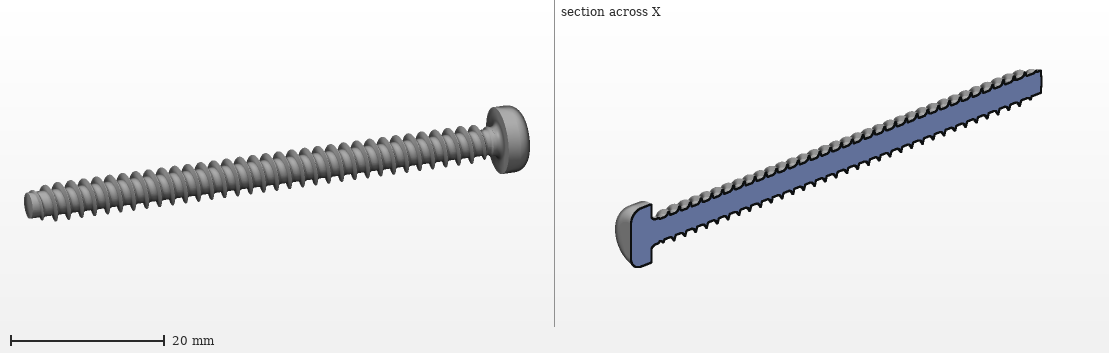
import cadquery as cq
import math

total_length = 68.49
head_diameter = 8.8
head_height = 3.45
head_round = 1.75

shank_length = total_length - head_height
core_radius = 1.7
neck_radius = 1.92
neck_length = 1.2
neck_taper = 0.2
neck_fillet = 0.7
tip_dome = 0.1

pitch = 1.8
thread_radius = 2.55
root_depth = 0.1
crest_width = 0.06
tip_side_root = 0.3
kink_radius = 1.88
kink_reach = 0.3
head_side_root = 0.75
fade_turns = 2.0
full_turns = 32.5
full_start_z = -61.83
base_radius = core_radius - root_depth
buried_crest_radius = core_radius - root_depth / 2
buried_scale = (buried_crest_radius - base_radius) / (thread_radius - base_radius)
fade_points_per_turn = 16


def make_body():
    """Head, neck and threadless core as one revolved profile around Z."""
    head_radius = head_diameter / 2
    diagonal = math.sqrt(0.5)
    crown_mid = (
        head_radius - head_round * (1 - diagonal),
        head_height - head_round * (1 - diagonal),
    )
    fillet_mid = (
        neck_radius + neck_fillet * (1 - diagonal),
        -neck_fillet * (1 - diagonal),
    )
    dome_mid = (core_radius / 2, -shank_length + tip_dome / 4)
    return (
        cq.Workplane("XZ")
        .moveTo(0, head_height)
        .lineTo(head_radius - head_round, head_height)
        .threePointArc(crown_mid, (head_radius, head_height - head_round))
        .lineTo(head_radius, 0)
        .lineTo(neck_radius + neck_fillet, 0)
        .threePointArc(fillet_mid, (neck_radius, -neck_fillet))
        .lineTo(neck_radius, -neck_length)
        .lineTo(core_radius, -neck_length - neck_taper)
        .lineTo(core_radius, -shank_length + tip_dome)
        .threePointArc(dome_mid, (0, -shank_length))
        .close()
        .revolve(360, (0, 0, 0), (0, 1, 0))
        .val()
    )


def profile_corners(scale):
    """Thread section as (radius, axial offset), with its height scaled down to the base."""
    full_section = [
        (base_radius, -tip_side_root),
        (thread_radius, -crest_width / 2),
        (thread_radius, crest_width / 2),
        (kink_radius, kink_reach),
        (base_radius, head_side_root),
    ]
    return [
        (base_radius + scale * (radius - base_radius), offset)
        for radius, offset in full_section
    ]


def corner_point(corner, scale, turn):
    """Position of one section corner after a number of turns from the first full crest."""
    radius, offset = profile_corners(scale)[corner]
    angle = 2 * math.pi * turn
    return cq.Vector(
        radius * math.cos(angle),
        radius * math.sin(angle),
        full_start_z + pitch * turn + offset,
    )


def fade_curve(corner, buried_turn, full_turn):
    """Path of one section corner while the section grows from buried to full size."""
    steps = round(fade_turns * fade_points_per_turn)
    points = []
    for step in range(steps + 1):
        share = step / steps
        scale = buried_scale + share * (1 - buried_scale)
        turn = buried_turn + share * (full_turn - buried_turn)
        points.append(corner_point(corner, scale, turn))
    return cq.Edge.makeSpline(points)


def full_curve(corner):
    """Helical path of one section corner along the full-height thread."""
    radius, offset = profile_corners(1)[corner]
    start = cq.Vector(0, 0, full_start_z + offset)
    return cq.Wire.makeHelix(pitch, pitch * full_turns, radius, start).Edges()[0]


def make_thread():
    """Closed helical ridge with a fade at either end."""
    corner_count = len(profile_corners(1))
    runs = [
        [fade_curve(corner, -fade_turns, 0) for corner in range(corner_count)],
        [full_curve(corner) for corner in range(corner_count)],
        [fade_curve(corner, full_turns + fade_turns, full_turns) for corner in range(corner_count)],
    ]
    faces = []
    for curves in runs:
        for corner in range(corner_count):
            next_corner = (corner + 1) % corner_count
            faces.append(cq.Face.makeRuledSurface(curves[corner], curves[next_corner]))
    for end_turn in (-fade_turns, full_turns + fade_turns):
        outline = [corner_point(corner, buried_scale, end_turn) for corner in range(corner_count)]
        faces.append(cq.Face.makeFromWires(cq.Wire.makePolygon(outline, close=True)))
    thread = cq.Solid.makeSolid(cq.Shell.makeShell(faces))
    return thread.fix()


def trim_at_tip(thread):
    """Cut off the buried end of the thread that runs past the rim of the tip."""
    rim_z = -shank_length + tip_dome
    keep = cq.Solid.makeCylinder(head_diameter / 2, -rim_z + head_height, cq.Vector(0, 0, rim_z))
    return thread.intersect(keep)


screw = make_body().fuse(trim_at_tip(make_thread()))
result = cq.Workplane(screw).rotate((0, 0, 0), (1, 0, 0), -90)